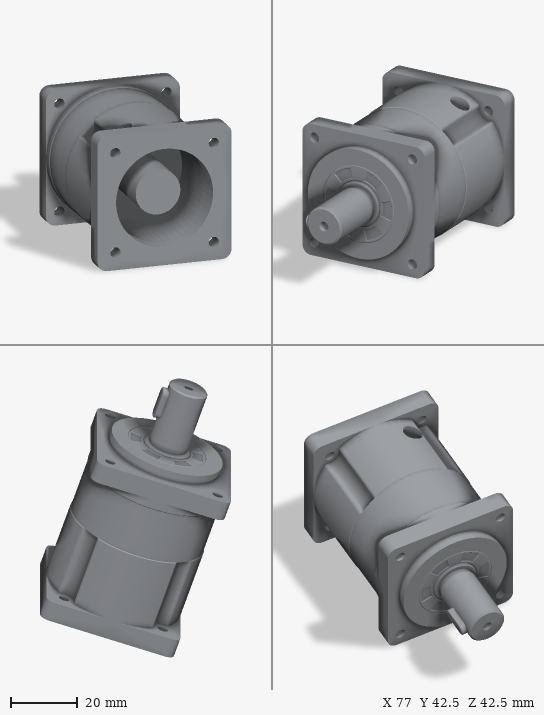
import cadquery as cq
import math


total_length = 77
pilot_face_x = 20.5
pilot_height = 3.0
plate_thickness = 6.0
neck_length = 3.0
ring_length = 15.95
plate_front_x = pilot_face_x + pilot_height
plate_back_x = plate_front_x + plate_thickness
ring_front_x = plate_back_x + neck_length
ring_back_x = ring_front_x + ring_length
motor_plate_x = total_length - plate_thickness

plate_side = 42.5
plate_corner_radius = 3.0
bolt_hole_radius = 1.6
front_bolt_offset = 17.0
rear_bolt_offset = 15.6
housing_radius = plate_side / 2
rim_chamfer = 0.2
ring_radius = housing_radius - rim_chamfer
pilot_radius = 17.55

cavity_radius = 15.4
relief_radius = 3.2
relief_lip_radius = 1.0
access_hole_radius = 2.9
access_hole_x = 64.9
access_hole_y = -9.25

hub_radius = 7.1

shaft_radius = 6.0
shaft_tip_chamfer = 0.55
undercut_x = 18.4
undercut_radius = 5.8
collar_radius = 7.3
collar_chamfer = 0.5
collar_x = pilot_face_x - collar_chamfer
center_hole_radius = 1.3
center_hole_depth = 5.0
center_hole_chamfer = 0.27
drill_point_half_angle = 59

key_length = 10
key_width = 4.0
key_height = 4.0
key_top_radius = 7.6
key_chamfer = 0.19
key_center_x = 6.9
key_tilt = 9

seal_radius = 12.4
seal_thickness = 5.0
seal_rim_chamfer = 0.2
seal_bore_chamfer = 0.3
pocket_count = 6
pocket_depth = 0.2
pocket_inner_radius = 8.4
pocket_outer_radius = 11.4
pocket_half_angle = 15
pocket_flare_angle = 1.3


def disc(x, radius, length):
    """Cylinder on the gearbox axis, from x toward +X."""
    return cq.Workplane("YZ", origin=(x, 0, 0)).circle(radius).extrude(length)


def square_plate(x, bolt_offset):
    """Square plate with rounded corners and four through bolt holes."""
    blank = (
        cq.Workplane("YZ", origin=(x, 0, 0))
        .rect(plate_side, plate_side)
        .extrude(plate_thickness)
        .edges("|X")
        .fillet(plate_corner_radius)
    )
    holes = (
        cq.Workplane("YZ", origin=(x, 0, 0))
        .rect(2 * bolt_offset, 2 * bolt_offset, forConstruction=True)
        .vertices()
        .circle(bolt_hole_radius)
        .extrude(plate_thickness)
    )
    return blank.cut(holes)


def make_front_housing():
    """Mounting plate with its pilot and bevelled neck, bored for the seal and the shaft collar."""
    pilot = disc(pilot_face_x, pilot_radius, pilot_height)
    neck = disc(plate_back_x, housing_radius, neck_length).faces(">X").chamfer(rim_chamfer)
    seal_seat = disc(pilot_face_x, seal_radius, seal_thickness)
    collar_bore = disc(pilot_face_x, collar_radius, ring_front_x - pilot_face_x)
    plate = square_plate(plate_front_x, front_bolt_offset)
    return plate.union(pilot).union(neck).cut(seal_seat).cut(collar_bore)


def make_ring_gear():
    """Plain gear case that meets the bevelled rims of the two housings."""
    return disc(ring_front_x, ring_radius, ring_length)


def is_relief_lip(edge):
    """True for the edges where a bolt relief opens on the barrel, which lie off both cross axes."""
    center = edge.Center()
    return abs(center.y) > relief_radius and abs(center.z) > relief_radius


def make_rear_housing():
    """Hollow barrel with four bolt reliefs, an access hole and the motor plate."""
    barrel_length = motor_plate_x - ring_back_x
    reliefs = (
        cq.Workplane("YZ", origin=(ring_back_x, 0, 0))
        .rect(2 * rear_bolt_offset, 2 * rear_bolt_offset, forConstruction=True)
        .vertices()
        .circle(relief_radius)
        .extrude(barrel_length)
    )
    barrel = disc(ring_back_x, housing_radius, barrel_length).cut(reliefs)
    lips = barrel.edges("|X").filter(is_relief_lip)
    bevelled_envelope = disc(ring_back_x, housing_radius, barrel_length).faces("<X").chamfer(rim_chamfer)
    barrel = lips.fillet(relief_lip_radius).intersect(bevelled_envelope)
    access_hole = (
        cq.Workplane("XY", origin=(access_hole_x, access_hole_y, 0))
        .circle(access_hole_radius)
        .extrude(housing_radius)
    )
    cavity = disc(ring_back_x, cavity_radius, total_length - ring_back_x)
    plate = square_plate(motor_plate_x, rear_bolt_offset)
    return barrel.cut(access_hole).union(plate).cut(cavity)


def make_input_hub():
    """Cylindrical hub inside the rear housing, standing on the gear case."""
    return disc(ring_back_x, hub_radius, motor_plate_x - ring_back_x)


def key_prism():
    """Upright round-ended prism that fills the keyway."""
    return (
        cq.Workplane("XZ", origin=(key_center_x, key_top_radius, 0))
        .slot2D(key_length, key_width)
        .extrude(key_height)
    )


def tilt_to_keyway(shape):
    """Turn a shape about the gearbox axis from +Y to the angular position of the keyway."""
    return shape.rotate((0, 0, 0), (1, 0, 0), -key_tilt)


def make_key():
    """Round-ended parallel key with a chamfered top."""
    return tilt_to_keyway(key_prism().faces(">Y").chamfer(key_chamfer))


def revolve_about_axis(profile):
    """Solid of revolution about X from (x, radius) points."""
    return cq.Workplane("XY").polyline(profile).close().revolve(360, (0, 0, 0), (1, 0, 0))


def make_shaft():
    """Stepped shaft with a chamfered collar, a keyway and a drilled centre hole."""
    profile = [
        (0, 0),
        (0, shaft_radius - shaft_tip_chamfer),
        (shaft_tip_chamfer, shaft_radius),
        (undercut_x, shaft_radius),
        (undercut_x, undercut_radius),
        (collar_x, undercut_radius),
        (collar_x, collar_radius - collar_chamfer),
        (pilot_face_x, collar_radius),
        (ring_front_x, collar_radius),
        (ring_front_x, 0),
    ]
    drill_point = center_hole_radius / math.tan(math.radians(drill_point_half_angle))
    hole_profile = [
        (0, 0),
        (0, center_hole_radius + center_hole_chamfer),
        (center_hole_chamfer, center_hole_radius),
        (center_hole_depth, center_hole_radius),
        (center_hole_depth + drill_point, 0),
    ]
    center_hole = revolve_about_axis(hole_profile)
    keyway = tilt_to_keyway(key_prism())
    return revolve_about_axis(profile).cut(center_hole).cut(keyway)


def polar(radius, angle):
    """Cartesian pair for a radius and an angle in degrees."""
    return (radius * math.cos(math.radians(angle)), radius * math.sin(math.radians(angle)))


def sector_wire(x, inner_radius, outer_radius, half_angle, angle):
    """Annular-sector outline in the plane at x, centred on the given angle."""
    start = angle - half_angle
    end = angle + half_angle
    return (
        cq.Workplane("YZ", origin=(x, 0, 0))
        .moveTo(*polar(inner_radius, start))
        .lineTo(*polar(outer_radius, start))
        .threePointArc(polar(outer_radius, angle), polar(outer_radius, end))
        .lineTo(*polar(inner_radius, end))
        .threePointArc(polar(inner_radius, angle), polar(inner_radius, start))
        .close()
        .val()
    )


def make_seal_pocket(angle):
    """Shallow annular-sector recess whose walls flare toward the seal face."""
    mouth = sector_wire(
        pilot_face_x,
        pocket_inner_radius - pocket_depth,
        pocket_outer_radius + pocket_depth,
        pocket_half_angle + pocket_flare_angle,
        angle,
    )
    floor = sector_wire(
        pilot_face_x + pocket_depth, pocket_inner_radius, pocket_outer_radius, pocket_half_angle, angle
    )
    return cq.Solid.makeLoft([mouth, floor], True)


def make_seal():
    """Shaft seal with bevelled rims and a ring of shallow pockets in its face."""
    seal_back_x = pilot_face_x + seal_thickness
    profile = [
        (pilot_face_x, collar_radius + seal_bore_chamfer),
        (pilot_face_x, seal_radius - seal_rim_chamfer),
        (pilot_face_x + seal_rim_chamfer, seal_radius),
        (seal_back_x, seal_radius),
        (seal_back_x, collar_radius),
        (pilot_face_x + seal_bore_chamfer, collar_radius),
    ]
    seal = revolve_about_axis(profile)
    for index in range(pocket_count):
        seal = seal.cut(make_seal_pocket(index * 360 / pocket_count))
    return seal


front_housing = make_front_housing()
ring_gear = make_ring_gear()
rear_housing = make_rear_housing()
input_hub = make_input_hub()
shaft = make_shaft()
key = make_key()
seal = make_seal()

result = cq.Compound.makeCompound([
    front_housing.val(),
    ring_gear.val(),
    rear_housing.val(),
    input_hub.val(),
    shaft.val(),
    key.val(),
    seal.val(),
])